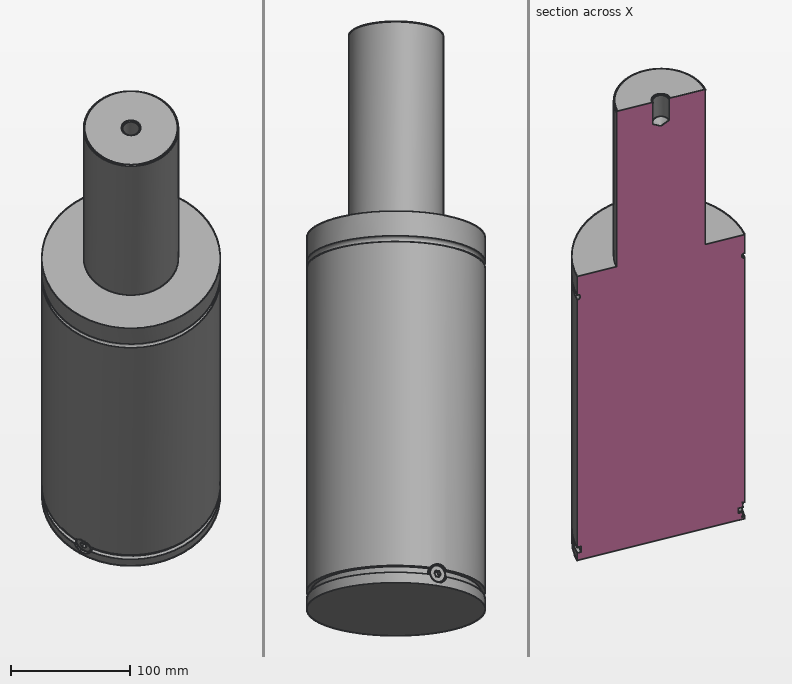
import cadquery as cq
import math

total_height = 505.0
body_diameter = 150.0
rod_diameter = 80.0
body_height = 326.5
rod_chamfer = 1.0

cap_groove_height = 302.5
cap_groove_diameter = 5.0

base_groove_bottom = 9.0
base_groove_top = 15.0
base_groove_depth = 3.5

rod_hole_diameter = 14.0
rod_hole_mouth_diameter = 16.0
rod_hole_depth = 25.0
drill_point_angle = 118

port_height = 11.0
port_diameter = 16.0
plug_face_diameter = 14.0
plug_recess = 1.5
port_depth = 15.0
socket_across_corners = 6.0
socket_depth = 4.0

cut_clearance = 5.0
body_radius = body_diameter / 2


def cylinder(diameter, bottom, top):
    return cq.Workplane("XY").workplane(offset=bottom).circle(diameter / 2).extrude(top - bottom)


def square_groove(bottom, top, depth):
    ring = cylinder(body_diameter + cut_clearance, bottom, top)
    core = cylinder(body_diameter - 2 * depth, bottom, top)
    return ring.cut(core)


def port_cylinder(diameter, outer_distance, inner_distance):
    """Cylinder along Y between two distances from the body axis, on the -Y side."""
    return (
        cq.Workplane("XZ", origin=(0, -inner_distance, port_height))
        .circle(diameter / 2)
        .extrude(outer_distance - inner_distance)
    )


def make_rod_hole():
    """Chamfered blind hole with a conical drill point."""
    radius = rod_hole_diameter / 2
    mouth_radius = rod_hole_mouth_diameter / 2
    floor = total_height - rod_hole_depth
    point_depth = radius / math.tan(math.radians(drill_point_angle / 2))
    return (
        cq.Workplane("XZ")
        .moveTo(0, total_height)
        .lineTo(mouth_radius, total_height)
        .lineTo(radius, total_height - (mouth_radius - radius))
        .lineTo(radius, floor)
        .lineTo(0, floor - point_depth)
        .close()
        .revolve(360, (0, 0, 0), (0, 1, 0))
    )


rod = cylinder(rod_diameter, 0, total_height).faces(">Z").chamfer(rod_chamfer)
result = cylinder(body_diameter, 0, body_height).union(rod)

cap_groove = (
    cq.Workplane("XZ")
    .center(body_radius, cap_groove_height)
    .circle(cap_groove_diameter / 2)
    .revolve(360, (-body_radius, 0, 0), (-body_radius, 1, 0))
)
result = result.cut(cap_groove)
result = result.cut(square_groove(base_groove_bottom, base_groove_top, base_groove_depth))
result = result.cut(make_rod_hole())

plug_face = body_radius - plug_recess
port_floor = body_radius - port_depth
result = result.cut(port_cylinder(port_diameter, body_radius + cut_clearance, port_floor))
plug_chamfer = (port_diameter - plug_face_diameter) / 2
plug = port_cylinder(port_diameter, plug_face, port_floor).faces("<Y").chamfer(plug_chamfer)
result = result.union(plug)
socket = (
    cq.Workplane("XZ", origin=(0, socket_depth - plug_face, port_height))
    .polygon(6, socket_across_corners)
    .extrude(socket_depth)
)
result = result.cut(socket)